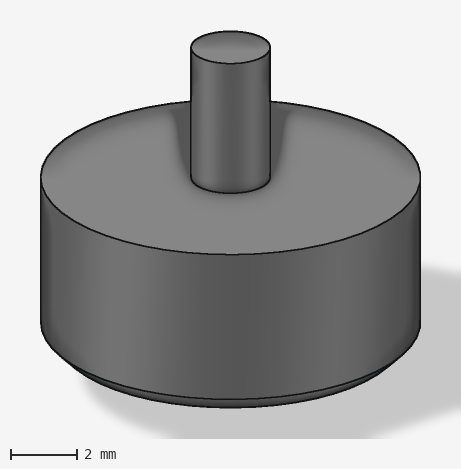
import cadquery as cq

overall_height = 11.2
body_diameter = 11.5
body_height = 4.8
pin_diameter = 2.4
pin_height = 4.3
chamfer_size = 0.5

body_radius = body_diameter / 2
pin_radius = pin_diameter / 2
cone_radius = body_radius - chamfer_size
pin_bottom_z = overall_height - pin_height
wall_bottom_z = pin_bottom_z - body_height
cone_top_z = wall_bottom_z - chamfer_size


def make_button():
    """Revolve the half section: conical nose, bevel, round body and top pin."""
    return (
        cq.Workplane("XZ")
        .moveTo(0, 0)
        .lineTo(cone_radius, cone_top_z)
        .lineTo(body_radius, wall_bottom_z)
        .lineTo(body_radius, pin_bottom_z)
        .lineTo(pin_radius, pin_bottom_z)
        .lineTo(pin_radius, overall_height)
        .lineTo(0, overall_height)
        .close()
        .revolve(360, (0, 0, 0), (0, 1, 0))
    )


result = make_button()